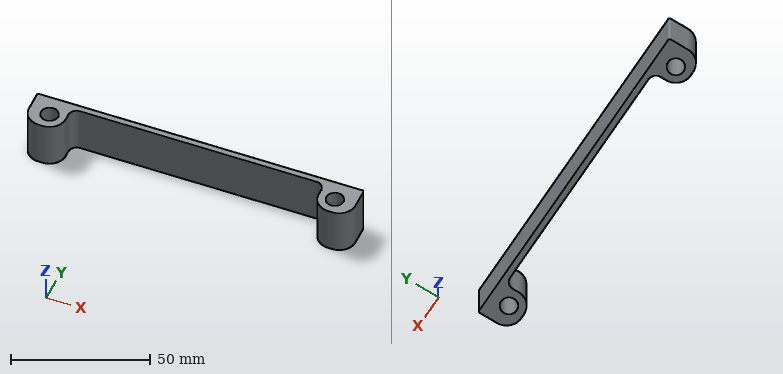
import cadquery as cq

length = 127.0
depth = 14.4
height = 19.0

wall_thickness = 2.4
wall_fillet = 3.2

lug_width = depth
lug_radius = 6.4
hole_diameter = 6.6
back_corner_radius = 0.8

half_length = length / 2
lug_inner_x = half_length - lug_width
hole_x = lug_inner_x + lug_radius
hole_y = lug_radius - depth


def make_block(x_min, x_max, y_front):
    """Full-height block from the back face forward to y_front."""
    return (
        cq.Workplane("XY")
        .moveTo(x_min, 0)
        .lineTo(x_max, 0)
        .lineTo(x_max, y_front)
        .lineTo(x_min, y_front)
        .close()
        .extrude(height)
    )


def make_lug(side):
    """End lug on the given side (-1 or +1), with its front corners rounded."""
    x_min, x_max = sorted((side * lug_inner_x, side * half_length))
    lug = make_block(x_min, x_max, -depth)
    return lug.edges("|Z and <Y").fillet(lug_radius)


body = make_block(-half_length, half_length, -wall_thickness)
for side in (-1, 1):
    body = body.union(make_lug(side))

for side in (-1, 1):
    inner_corner = (side * lug_inner_x, -wall_thickness, height / 2)
    body = body.edges(cq.NearestToPointSelector(inner_corner)).fillet(wall_fillet)

body = body.edges("|Z and >Y").fillet(back_corner_radius)

holes = (
    cq.Workplane("XY")
    .pushPoints([(-hole_x, hole_y), (hole_x, hole_y)])
    .circle(hole_diameter / 2)
    .extrude(height)
)
result = body.cut(holes)